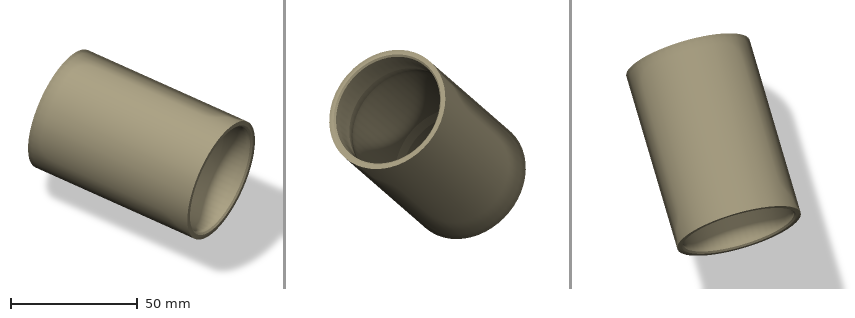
import cadquery as cq

LENGTH = 73.99
OUTER_RADIUS = 25.4

LAND_RADIUS = 22.75
MOUTH_RADIUS = 23.45
RELIEF_RADIUS = 23.5
CHAMFER_DEPTH = 0.7
LAND_END_DEPTH = 12.9
TAPER_LENGTH = 4.6

half_length = LENGTH / 2
chamfer_x = half_length - CHAMFER_DEPTH
land_end_x = half_length - LAND_END_DEPTH
relief_x = land_end_x - TAPER_LENGTH


def make_tube():
    """Revolve the wall section about the X axis."""
    bore_half = [
        (relief_x, RELIEF_RADIUS),
        (land_end_x, LAND_RADIUS),
        (chamfer_x, LAND_RADIUS),
        (half_length, MOUTH_RADIUS),
    ]
    mirrored_half = [(-x, radius) for x, radius in reversed(bore_half)]
    wall = mirrored_half + bore_half + [
        (half_length, OUTER_RADIUS),
        (-half_length, OUTER_RADIUS),
    ]
    section = cq.Workplane("XZ").polyline(wall).close()
    return section.revolve(360, (0, 0, 0), (1, 0, 0))


result = make_tube()